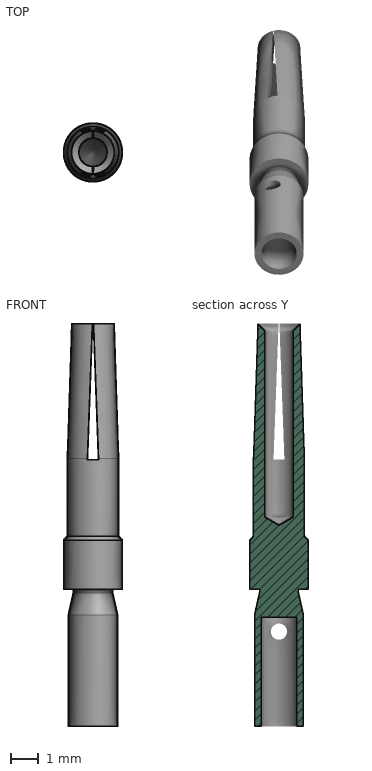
import cadquery as cq

total_length = 14.4
barrel_top = 3.99
neck_top = 4.77
collar_bottom = 4.9
collar_top = 6.8
tine_root = 9.58

barrel_radius = 0.88
neck_radius = 0.7
collar_radius = 1.05
sleeve_radius = 0.92
tip_radius = 0.76
collar_chamfer_height = 0.15

bore_radius = 0.5
mouth_radius = tip_radius
mouth_depth = 0.26
bore_floor = 7.49
drill_point_depth = 0.29

crimp_bore_radius = 0.63
crimp_bore_depth = 3.89
inspection_hole_radius = 0.29
inspection_hole_height = 3.38

slot_bottom = 9.53
slot_root_width = 0.39
slot_tip_width = 0.03


def revolve_profile(points):
    """Revolve a closed (radius, height) outline about the Z axis."""
    return cq.Workplane("XZ").polyline(points).close().revolve(360, (0, 0), (0, 1))


def outer_body():
    return revolve_profile([
        (0, 0),
        (barrel_radius, 0),
        (barrel_radius, barrel_top),
        (neck_radius, neck_top),
        (neck_radius, collar_bottom),
        (collar_radius, collar_bottom),
        (collar_radius, collar_top - collar_chamfer_height),
        (sleeve_radius, collar_top),
        (sleeve_radius, tine_root),
        (tip_radius, total_length),
        (0, total_length),
    ])


def socket_bore():
    return revolve_profile([
        (0, bore_floor - drill_point_depth),
        (bore_radius, bore_floor),
        (bore_radius, total_length - mouth_depth),
        (mouth_radius, total_length),
        (0, total_length),
    ])


def crimp_bore():
    return cq.Workplane("XY").circle(crimp_bore_radius).extrude(crimp_bore_depth)


def inspection_hole():
    """Radial hole from the axis out through the +Y wall of the crimp barrel."""
    return (
        cq.Workplane("XZ")
        .center(0, inspection_hole_height)
        .circle(inspection_hole_radius)
        .extrude(-collar_radius)
    )


def tine_slot():
    """Wedge through both walls, narrowing toward the socket mouth."""
    outline = [
        (-slot_root_width / 2, slot_bottom),
        (slot_root_width / 2, slot_bottom),
        (slot_tip_width / 2, total_length),
        (-slot_tip_width / 2, total_length),
    ]
    return cq.Workplane("XZ").polyline(outline).close().extrude(collar_radius, both=True)


result = (
    outer_body()
    .cut(socket_bore())
    .cut(crimp_bore())
    .cut(inspection_hole())
    .cut(tine_slot())
)